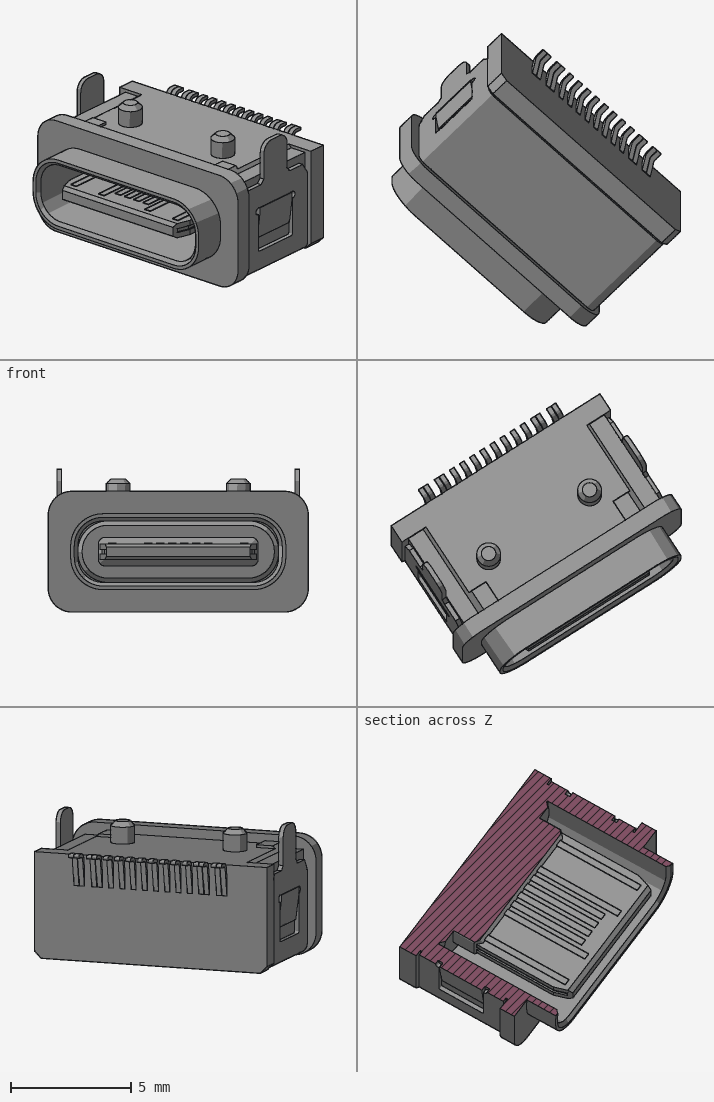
import cadquery as cq
import math


flange_width = 10.84
flange_height = 5.04
flange_thickness = 0.72
flange_corner_radius = 1.0

shell_width = 8.96
shell_height = 3.16
shell_radius = 1.35
shell_length = 1.44
shell_wall = 0.30
mouth_flare = 0.15
mouth_flare_length = 0.15
mouth_y = -shell_length

housing_length = 5.15
housing_rear_y = flange_thickness + housing_length
housing_width = 9.71
housing_bottom_z = -2.20
housing_bottom_chamfer = 0.55
ledge_z = 1.98
deck_z = 2.116
deck_foot_width = 8.24
rear_wall_width = 10.34
rear_wall_thickness = 0.83
rear_wall_bottom_z = -2.386
rear_wall_chamfer = 0.30
corner_pad_z = 2.23
corner_pad_length = 1.0
corner_pad_inner_x = 3.15

post_diameter = 1.0
post_top_z = 3.03
post_chamfer = 0.2
post_spacing = 5.0
post_y = 2.52

plug_face_y = 4.4
plug_width = shell_width - 2 * shell_wall
plug_height = shell_height - 2 * shell_wall
plug_radius = 1.25
plug_chamfer = 0.18
tongue_tip_setback = 0.12
tongue_tip_y = mouth_y + tongue_tip_setback
tongue_root_width = 6.66
tongue_width = 6.50
tongue_thickness = 0.65
tongue_root_thickness = 1.20
tongue_root_radius = 0.30
root_start_y = 3.1
tip_width = 5.98
tip_thickness = 0.40
tip_chamfer_length = 0.2
tip_side_length = 0.8
side_slot_height = 0.18
side_slot_depth = 0.08
side_slot_front_gap = 0.22
contact_width = 0.30
contact_height = 0.03
long_contact_x = (1.25, 2.75)
short_contact_x = (0.25, 0.75)
long_contact_start_y = -0.88
short_contact_start_y = -0.40

cover_thickness = 0.20
cover_inner_x = housing_width / 2
cover_outer_x = cover_inner_x + cover_thickness
cover_y = 2.88
cover_length = 4.19
cover_bottom_z = -2.386
cover_bend_radius = 0.40
cover_side_top_z = 1.15
shoulder_z = 1.62
shoulder_inset = 0.32
tab_top_z = 3.44
tab_width = 1.51
tab_corner_radius = 0.50
tab_root_chamfer = 0.19

window_width = 2.21
window_top_z = 0.61
window_bottom_z = -1.37
window_corner_radius = 0.08
relief_width = 2.54
relief_height = 0.30
latch_width = 2.10
latch_bulge = 0.03
latch_straight_z = 0.35
latch_slope_z = 0.11
latch_slope_inset = 0.03
latch_bottom_z = -0.80
latch_tip_inset = 0.12

terminal_tip_y = 6.53
terminal_top_z = 2.23
terminal_thickness = 0.15
terminal_bend_y = 5.99
terminal_lean = 10.0
terminal_end_z = 0.80
terminal_outer_bend = 0.29
terminal_inner_bend = 0.14
terminal_tip_radius = 0.06
terminal_width = 0.22
terminal_x = (0.25, 0.75, 1.25, 1.75)
paired_terminal_x = (2.38, 3.17)
pair_pitch = 0.24


def box(x0, x1, y0, y1, z0, z1):
    """Axis-aligned block between two opposite corners."""
    return cq.Workplane("XY").box(x1 - x0, y1 - y0, z1 - z0, centered=False).translate((x0, y0, z0))


def rounded_bar(width, height, radius, y0, y1):
    """Rounded rectangle centred on the mating axis, running from y0 to y1."""
    bar = box(-width / 2, width / 2, y0, y1, -height / 2, height / 2)
    return bar.edges("|Y").fillet(radius)


def extrude_along_y(points, y0, y1):
    """Closed XZ outline swept from y0 to y1."""
    return cq.Workplane("XZ", origin=(0, y0, 0)).polyline(points).close().extrude(y0 - y1)


def both_sides(body):
    """The body together with its mirror image across X = 0."""
    return body.union(body.mirror("YZ"))


def make_housing():
    half = housing_width / 2
    block = box(-half, half, flange_thickness, housing_rear_y, housing_bottom_z, ledge_z)
    block = block.edges("|Y and <Z").chamfer(housing_bottom_chamfer)

    def sloped_half_width(z):
        return deck_foot_width / 2 - (z - ledge_z)

    foot = deck_foot_width / 2
    deck_half = sloped_half_width(deck_z)
    deck_outline = [(-foot, ledge_z), (foot, ledge_z), (deck_half, deck_z), (-deck_half, deck_z)]
    deck = extrude_along_y(deck_outline, flange_thickness, housing_rear_y)

    pad_outline = [
        (corner_pad_inner_x, ledge_z),
        (foot, ledge_z),
        (sloped_half_width(corner_pad_z), corner_pad_z),
        (corner_pad_inner_x, corner_pad_z),
    ]
    pad = extrude_along_y(pad_outline, flange_thickness, flange_thickness + corner_pad_length)

    rear_half = rear_wall_width / 2
    rear_start_y = housing_rear_y - rear_wall_thickness
    rear_wall = box(-rear_half, rear_half, rear_start_y, housing_rear_y, rear_wall_bottom_z, deck_z)
    rear_wall = rear_wall.edges("|Y and <Z").chamfer(rear_wall_chamfer)
    return block.union(deck).union(both_sides(pad)).union(rear_wall)


def make_posts():
    post = (
        cq.Workplane("XY", origin=(post_spacing / 2, post_y, ledge_z))
        .circle(post_diameter / 2)
        .extrude(post_top_z - ledge_z)
        .faces(">Z")
        .chamfer(post_chamfer)
    )
    return both_sides(post)


def make_cavity():
    inner_radius = shell_radius - shell_wall
    cavity = rounded_bar(plug_width, plug_height, inner_radius, mouth_y, plug_face_y + plug_chamfer)
    mouth = rounded_bar(
        plug_width + 2 * mouth_flare,
        plug_height + 2 * mouth_flare,
        inner_radius + mouth_flare,
        mouth_y,
        plug_face_y,
    )
    flare_angle = math.degrees(math.atan2(mouth_flare, mouth_flare_length))
    mouth = mouth.faces("<Y").wires().toPending().workplane().extrude(
        -mouth_flare_length, combine=False, taper=flare_angle
    )
    return cavity.union(mouth)


def tongue_plan(inset):
    """Plan outline of the tongue with its sides moved in by the inset, as a tall prism."""
    side_flare = (tongue_width - tip_width) / 2
    return (
        cq.Workplane("XY", origin=(0, 0, -tongue_thickness))
        .moveTo(inset - tip_width / 2, tongue_tip_y)
        .lineTo(tip_width / 2 - inset, tongue_tip_y)
        .line(side_flare, tip_side_length)
        .lineTo(tongue_width / 2 - inset, plug_face_y)
        .lineTo(inset - tongue_width / 2, plug_face_y)
        .lineTo(inset - tongue_width / 2, tongue_tip_y + tip_side_length)
        .close()
        .extrude(2 * tongue_thickness)
    )


def make_tongue():
    half_tongue = tongue_thickness / 2
    half_tip = tip_thickness / 2
    nose_y = tongue_tip_y + tip_chamfer_length
    blade = (
        cq.Workplane("YZ", origin=(-tongue_width / 2, 0, 0))
        .moveTo(tongue_tip_y, -half_tip)
        .lineTo(nose_y, -half_tongue)
        .lineTo(plug_face_y, -half_tongue)
        .lineTo(plug_face_y, half_tongue)
        .lineTo(nose_y, half_tongue)
        .lineTo(tongue_tip_y, half_tip)
        .close()
        .extrude(tongue_width)
    )
    blade = blade.intersect(tongue_plan(0))

    slot_band = box(
        -tongue_width / 2,
        tongue_width / 2,
        tongue_tip_y + side_slot_front_gap,
        plug_face_y,
        -side_slot_height / 2,
        side_slot_height / 2,
    )
    blade = blade.cut(slot_band.cut(tongue_plan(side_slot_depth)))

    root = rounded_bar(
        tongue_root_width,
        tongue_root_thickness,
        tongue_root_radius,
        root_start_y,
        plug_face_y + plug_chamfer,
    )
    root_chamfer = (tongue_root_thickness - tongue_thickness) / 2
    tongue = blade.union(root.faces("<Y").chamfer(root_chamfer))

    rows = ((long_contact_x, long_contact_start_y), (short_contact_x, short_contact_start_y))
    for positions, start_y in rows:
        for x in positions:
            contact = box(
                x - contact_width / 2,
                x + contact_width / 2,
                start_y,
                root_start_y + root_chamfer,
                0,
                half_tongue + contact_height,
            )
            tongue = tongue.union(both_sides(contact))
    return tongue


def make_plug():
    plug = rounded_bar(plug_width, plug_height, plug_radius, plug_face_y, housing_rear_y)
    return plug.faces("<Y").chamfer(plug_chamfer)


def make_cover_side_outline():
    """Side outline of the cover, with the solder tab on top, as a slab through the whole width."""
    half = cover_length / 2
    half_tab = tab_width / 2
    slab = (
        cq.Workplane("YZ", origin=(-cover_outer_x, cover_y, 0))
        .moveTo(-half, cover_bottom_z)
        .lineTo(half, cover_bottom_z)
        .lineTo(half, cover_side_top_z)
        .lineTo(half - shoulder_inset, shoulder_z)
        .lineTo(half_tab + tab_root_chamfer, shoulder_z)
        .lineTo(half_tab, shoulder_z + tab_root_chamfer)
        .lineTo(half_tab, tab_top_z)
        .lineTo(-half_tab, tab_top_z)
        .lineTo(-half_tab, shoulder_z + tab_root_chamfer)
        .lineTo(-half_tab - tab_root_chamfer, shoulder_z)
        .lineTo(shoulder_inset - half, shoulder_z)
        .lineTo(-half, cover_side_top_z)
        .close()
        .extrude(2 * cover_outer_x)
    )
    tab_corners = cq.selectors.BoxSelector(
        (-cover_outer_x, cover_y - tab_width, tab_top_z - tab_corner_radius),
        (cover_outer_x, cover_y + tab_width, tab_top_z + tab_corner_radius),
    )
    return slab.edges("|X").edges(tab_corners).fillet(tab_corner_radius)


def make_cover():
    front_y = cover_y - cover_length / 2
    rear_y = cover_y + cover_length / 2
    outer = box(-cover_outer_x, cover_outer_x, front_y, rear_y, cover_bottom_z, tab_top_z)
    outer = outer.edges("|Y and <Z").fillet(cover_bend_radius)
    floor_z = cover_bottom_z + cover_thickness
    inner = box(-cover_inner_x, cover_inner_x, front_y, rear_y, floor_z, tab_top_z)
    inner = inner.edges("|Y and <Z").fillet(cover_bend_radius - cover_thickness)
    cover = outer.cut(inner).intersect(make_cover_side_outline())

    half_window = window_width / 2
    window = box(
        -cover_outer_x,
        cover_outer_x,
        cover_y - half_window,
        cover_y + half_window,
        window_bottom_z,
        window_top_z,
    )
    window = window.edges("|X and <Z").fillet(window_corner_radius)
    relief = (
        cq.Workplane("YZ", origin=(-cover_outer_x, cover_y, window_top_z - relief_height / 2))
        .slot2D(relief_width, relief_height)
        .extrude(2 * cover_outer_x)
    )
    return cover.cut(window).cut(relief)


def make_latches():
    """Spring leaf hanging in each window, bulging slightly and then leaning into the housing."""
    bulge_x = cover_outer_x + latch_bulge
    back_x = cover_inner_x - cover_thickness
    latch = (
        cq.Workplane("XZ", origin=(0, cover_y + latch_width / 2, 0))
        .moveTo(back_x, window_top_z)
        .lineTo(bulge_x, window_top_z)
        .lineTo(bulge_x, latch_straight_z)
        .lineTo(bulge_x - latch_slope_inset, latch_slope_z)
        .lineTo(cover_outer_x - latch_tip_inset, latch_bottom_z)
        .lineTo(back_x, latch_bottom_z)
        .close()
        .extrude(latch_width)
    )
    return both_sides(latch)


def make_terminal(x):
    """Bent strip that leans out of the rear wall and turns flat at the board."""
    lean = math.radians(terminal_lean)
    full_drop = terminal_top_z - terminal_end_z
    inner_drop = full_drop - terminal_thickness
    leg_y = terminal_thickness / math.cos(lean) - terminal_thickness * math.tan(lean)
    underside_z = terminal_top_z - terminal_thickness
    strip = (
        cq.Workplane("YZ", origin=(x - terminal_width / 2, 0, 0))
        .moveTo(terminal_tip_y, terminal_top_z)
        .lineTo(terminal_bend_y, terminal_top_z)
        .line(-full_drop * math.tan(lean), -full_drop)
        .lineTo(terminal_bend_y + leg_y - inner_drop * math.tan(lean), terminal_end_z)
        .line(inner_drop * math.tan(lean), inner_drop)
        .lineTo(terminal_tip_y, underside_z)
        .close()
        .extrude(terminal_width)
    )
    outer_bend = cq.selectors.NearestToPointSelector((x, terminal_bend_y, terminal_top_z))
    inner_bend = cq.selectors.NearestToPointSelector((x, terminal_bend_y + leg_y, underside_z))
    strip = strip.edges("|X").edges(outer_bend).fillet(terminal_outer_bend)
    strip = strip.edges("|X").edges(inner_bend).fillet(terminal_inner_bend)
    return strip.edges("|X and >Y").fillet(terminal_tip_radius)


flange = rounded_bar(flange_width, flange_height, flange_corner_radius, 0, flange_thickness)
shell = rounded_bar(shell_width, shell_height, shell_radius, mouth_y, flange_thickness)

result = make_housing().union(flange).union(shell).cut(make_cavity())
result = result.union(make_plug()).union(make_tongue()).union(make_posts())
result = result.union(make_cover()).union(make_latches())
for terminal_offset in terminal_x:
    result = result.union(both_sides(make_terminal(terminal_offset)))
for pair_offset in paired_terminal_x:
    for side in (-1, 1):
        result = result.union(both_sides(make_terminal(pair_offset + side * pair_pitch / 2)))